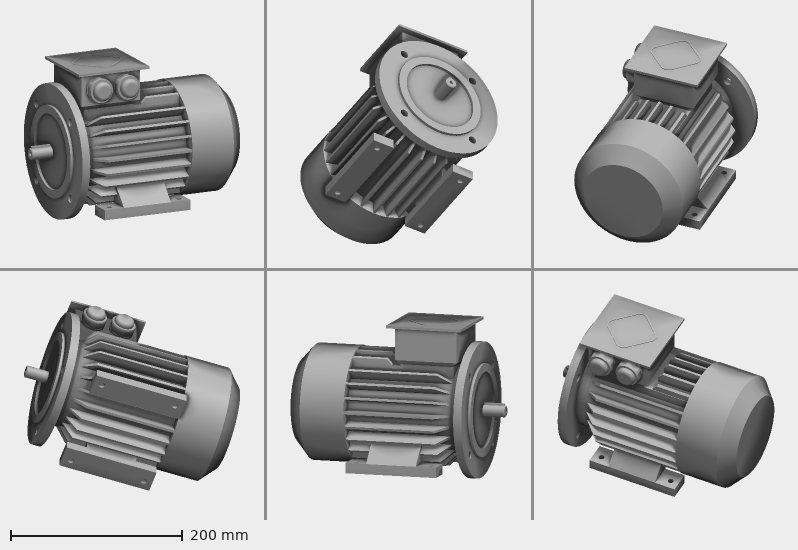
import cadquery as cq
import math


flange_diameter = 160.0
flange_thickness = 10.0
spigot_diameter = 110.0
spigot_height = 3.5
spigot_recess_diameter = 90.0
bolt_circle_diameter = 130.0
bolt_hole_diameter = 10.0
bolt_hole_count = 4
first_bolt_angle = 45
neck_diameter = 105.0
neck_end_y = 21.0

frame_diameter = 104.0
frame_radius = frame_diameter / 2
fin_outer_radius = 67.7
fin_thickness = 3.0
fin_step_angle = 15
first_fin_angle = -225
last_fin_angle = 45
fin_start_y = 24.0
fin_taper = 15.0

pad_top_z = 52.4
pad_fin_spacing = 15.0
pad_fins_each_side = 2
pad_fin_start_y = 99.0
pad_fin_chamfer = 6.0

cover_diameter = 137.0
cover_start_y = 147.0
cover_chamfer_y = 200.3
cover_end_y = 217.0
cover_end_diameter = 100.0

box_size = 75.0
box_center_y = 56.3
box_chamfer = 5.5
pedestal_top_z = 55.0
pedestal_size = box_size - 2 * box_chamfer
box_side_bottom_z = pedestal_top_z + box_chamfer
lid_width = 92.0
lid_length = 91.1
lid_center_y = 56.8
lid_bottom_z = 99.0
lid_top_z = 102.3
rim_size = 50.0
rim_corner_radius = 10.0
rim_width = 2.0
rim_height = 0.7

gland_spacing = 35.0
gland_z = 80.0
gland_nut_diameter = 29.5
gland_nut_length = 12.0
gland_flat_count = 6
gland_flat_distance = 27.2
gland_flat_start = 2.2
gland_flat_length = 7.7
gland_bevel_length = 1.7
gland_bevel_depth = 0.5
gland_cap_diameter = 23.2
gland_cap_length = 7.0
gland_cap_fillet = 4.7

foot_outer_x = 67.0
foot_inner_x = 40.3
foot_bottom_z = -71.0
foot_top_z = -58.8
foot_start_y = 34.8
foot_end_y = 145.2
foot_hole_diameter = 7.0
foot_hole_x = 56.0
foot_hole_spacing = 90.0
foot_center_y = (foot_start_y + foot_end_y) / 2
web_start_y = 59.5
web_end_y = 120.0
web_top_z = -35.5
web_root_x = 37.0

shaft_diameter = 14.0
shaft_end = 30.0
shaft_chamfer = 1.0
center_hole_diameter = 4.2
center_hole_depth = 5.0
center_hole_mouth_diameter = 5.5
key_width = 5.0
key_length = 25.0
key_top_z = 9.0
key_start_y = -spigot_height


def along_y(start_y, diameter, length):
    """Cylinder on the shaft axis, from start_y toward +Y."""
    return cq.Workplane("XZ", origin=(0, start_y, 0)).circle(diameter / 2).extrude(-length)


def block(x_range, y_range, z_range):
    """Box between two limits on each axis."""
    sizes = [high - low for low, high in (x_range, y_range, z_range)]
    corner = (x_range[0], y_range[0], z_range[0])
    return cq.Workplane("XY").box(*sizes, centered=False).translate(corner)


def make_flange():
    spigot = along_y(-spigot_height, spigot_diameter, spigot_height)
    recess = along_y(-spigot_height, spigot_recess_diameter, spigot_height)
    plate = along_y(0, flange_diameter, flange_thickness)
    neck = along_y(flange_thickness, neck_diameter, neck_end_y - flange_thickness)
    bolt_holes = (
        cq.Workplane("XZ")
        .polarArray(bolt_circle_diameter / 2, first_bolt_angle, 360, bolt_hole_count)
        .circle(bolt_hole_diameter / 2)
        .extrude(-flange_thickness)
    )
    return plate.cut(bolt_holes).union(spigot.cut(recess)).union(neck)


def make_radial_fin(angle):
    """Fin along the frame, tapered down toward the flange, turned about the shaft axis."""
    root_radius = frame_radius - fin_thickness
    outline = [
        (root_radius, fin_start_y),
        (fin_outer_radius - fin_taper, fin_start_y),
        (fin_outer_radius, fin_start_y + fin_taper),
        (fin_outer_radius, cover_start_y),
        (root_radius, cover_start_y),
    ]
    fin = cq.Workplane("XY").polyline(outline).close().extrude(fin_thickness / 2, both=True)
    return fin.rotate((0, 0, 0), (0, 1, 0), -angle)


def make_pad():
    """Flat-topped pad whose upright fins are rounded to the same radius as the radial fins."""
    pad_width = (-pedestal_size / 2, pedestal_size / 2)
    pad = block(pad_width, (fin_start_y, cover_start_y), (0, pad_top_z))
    fin_envelope = along_y(pad_fin_start_y, 2 * fin_outer_radius, cover_start_y - pad_fin_start_y)
    fin_envelope = fin_envelope.faces("<Y").chamfer(pad_fin_chamfer)
    for index in range(-pad_fins_each_side, pad_fins_each_side + 1):
        fin_x = index * pad_fin_spacing
        fin_width = (fin_x - fin_thickness / 2, fin_x + fin_thickness / 2)
        fin = block(fin_width, (pad_fin_start_y, cover_start_y), (0, fin_outer_radius))
        pad = pad.union(fin.intersect(fin_envelope))
    return pad


def make_fan_cover():
    drum = along_y(cover_start_y, cover_diameter, cover_chamfer_y - cover_start_y)
    end = (
        cq.Workplane("XZ", origin=(0, cover_chamfer_y, 0))
        .circle(cover_diameter / 2)
        .workplane(offset=cover_chamfer_y - cover_end_y)
        .circle(cover_end_diameter / 2)
        .loft()
    )
    return drum.union(end)


def make_terminal_box():
    pedestal = (
        cq.Workplane("XY", origin=(0, box_center_y, 0))
        .rect(pedestal_size, pedestal_size)
        .extrude(pedestal_top_z)
    )
    funnel = (
        cq.Workplane("XY", origin=(0, box_center_y, pedestal_top_z))
        .rect(pedestal_size, pedestal_size)
        .workplane(offset=box_chamfer)
        .rect(box_size, box_size)
        .loft()
    )
    walls = (
        cq.Workplane("XY", origin=(0, box_center_y, box_side_bottom_z))
        .rect(box_size, box_size)
        .extrude(lid_bottom_z - box_side_bottom_z)
    )
    lid = (
        cq.Workplane("XY", origin=(0, lid_center_y, lid_bottom_z))
        .rect(lid_width, lid_length)
        .extrude(lid_top_z - lid_bottom_z)
    )
    return pedestal.union(funnel).union(walls).union(lid).union(make_lid_rim())


def make_lid_rim():
    """Raised rounded-square rim standing on its corner in the middle of the lid."""
    def rounded_square(inset):
        size = rim_size - 2 * inset
        square = cq.Workplane("XY").rect(size, size).extrude(rim_height)
        return square.edges("|Z").fillet(rim_corner_radius - inset)

    rim = rounded_square(0).cut(rounded_square(rim_width))
    return rim.rotate((0, 0, 0), (0, 0, 1), 45).translate((0, lid_center_y, lid_top_z))


def make_gland(center_y):
    """Cable gland: a round, bevelled nut with six wrench flats, and a domed cap."""
    wall_x = box_size / 2
    nut = (
        cq.Workplane("YZ")
        .circle(gland_nut_diameter / 2)
        .extrude(gland_nut_length)
        .faces(">X")
        .chamfer(gland_bevel_length, gland_bevel_depth)
    )
    half_angle = 180 / gland_flat_count
    corner_diameter = gland_flat_distance / math.cos(math.radians(half_angle))
    flat_band = (
        cq.Workplane("YZ", origin=(gland_flat_start, 0, 0))
        .circle(gland_nut_diameter)
        .extrude(gland_flat_length)
    )
    hexagon = (
        cq.Workplane("YZ", origin=(gland_flat_start, 0, 0))
        .transformed(rotate=(0, 0, half_angle))
        .polygon(gland_flat_count, corner_diameter)
        .extrude(gland_flat_length)
    )
    cap = (
        cq.Workplane("YZ", origin=(gland_nut_length, 0, 0))
        .circle(gland_cap_diameter / 2)
        .extrude(gland_cap_length)
        .faces(">X")
        .edges()
        .fillet(gland_cap_fillet)
    )
    return nut.cut(flat_band.cut(hexagon)).union(cap).translate((wall_x, center_y, gland_z))


def make_foot():
    """Foot on the +X side: a drilled bar with a sloping web up to the frame."""
    bar = block((foot_inner_x, foot_outer_x), (foot_start_y, foot_end_y), (foot_bottom_z, foot_top_z))
    holes = (
        cq.Workplane("XY", origin=(foot_hole_x, foot_center_y, foot_bottom_z))
        .rarray(2.5, foot_hole_spacing, 1, 2)
        .circle(foot_hole_diameter / 2)
        .extrude(foot_top_z - foot_bottom_z)
    )
    web_top_x = foot_outer_x - (web_top_z - foot_top_z)
    web_outline = [
        (foot_outer_x, foot_top_z),
        (web_top_x, web_top_z),
        (web_root_x, web_top_z),
        (foot_inner_x, foot_top_z),
    ]
    web = (
        cq.Workplane("XZ", origin=(0, web_start_y, 0))
        .polyline(web_outline)
        .close()
        .extrude(web_start_y - web_end_y)
    )
    return bar.cut(holes).union(web)


def make_motor():
    motor = make_flange().union(along_y(neck_end_y, frame_diameter, cover_start_y - neck_end_y))
    for angle in range(first_fin_angle, last_fin_angle + 1, fin_step_angle):
        motor = motor.union(make_radial_fin(angle))
    motor = motor.union(make_pad()).union(make_fan_cover()).union(make_terminal_box())
    for side in (-1, 1):
        motor = motor.union(make_gland(lid_center_y + side * gland_spacing / 2))
    foot = make_foot()
    return motor.union(foot).union(foot.mirror("YZ"))


def make_shaft():
    """Shaft end with its key, both starting level with the face of the spigot."""
    shaft = along_y(-shaft_end, shaft_diameter, shaft_end - spigot_height)
    shaft = shaft.faces("<Y").chamfer(shaft_chamfer)
    key = (
        cq.Workplane("XY", origin=(0, key_start_y - key_length / 2, 0))
        .slot2D(key_length, key_width, 90)
        .extrude(key_top_z)
    )
    return shaft.union(key).cut(make_center_hole())


def make_center_hole():
    """Drilled hole with a countersunk mouth and a conical bottom, as a solid to cut away."""
    radius = center_hole_diameter / 2
    mouth_radius = center_hole_mouth_diameter / 2
    hole_bottom_y = center_hole_depth - shaft_end
    half_outline = [
        (0, -shaft_end),
        (mouth_radius, -shaft_end),
        (radius, mouth_radius - radius - shaft_end),
        (radius, hole_bottom_y),
        (0, hole_bottom_y + radius),
    ]
    return cq.Workplane("XY").polyline(half_outline).close().revolve(360, (0, 0, 0), (0, 1, 0))


motor = make_motor()
shaft = make_shaft()
result = cq.Compound.makeCompound([motor.val(), shaft.val()])